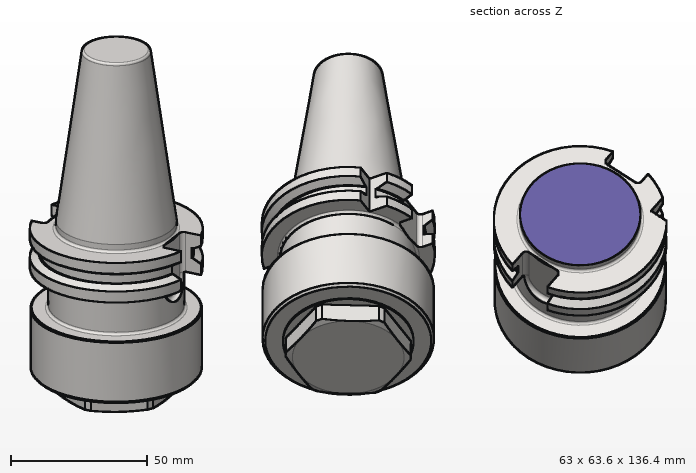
import cadquery as cq
import math


gauge_diameter = 44.45
taper_length = 68.4
taper_top_diameter = 25.3
top_edge_fillet = 1.0

flange_diameter = 63.55
flange_top = -3.2
flange_bottom = -19.1
taper_root_fillet = 1.0
groove_diameter = 56.2
groove_floor_width = 3.8
groove_mouth_width = 7.1
groove_wall_angle = 27
groove_center = -11.1

neck_diameter = 50.0
neck_fillet = 1.0

nut_diameter = 63.0
nut_top = -35.0
nut_bottom = -60.0
nut_top_chamfer = 0.4
nut_bottom_chamfer = 1.0
nut_step_diameter = 48.0
nut_step_height = 0.4

hex_across_flats = 41.0
hex_corner_diameter = 46.0
hex_bottom = -68.0
hex_edge_angle = 15

slot_width = 16.1
slot_corner_radius = 1.6
slot_overrun = 0.2
shallow_slot_floor = 25.0
deep_slot_floor = 22.8
notch_offset = 18.6


def turned_body():
    """Taper, flange, neck and nut as one revolved profile."""
    gauge_radius = gauge_diameter / 2
    top_radius = taper_top_diameter / 2
    taper_angle = math.atan((gauge_radius - top_radius) / taper_length)
    fillet_reach = top_edge_fillet * math.tan((math.pi / 2 - taper_angle) / 2)
    fillet_end_radius = top_radius + fillet_reach * math.sin(taper_angle)
    fillet_end_height = taper_length - fillet_reach * math.cos(taper_angle)
    flange_radius = flange_diameter / 2
    groove_radius = groove_diameter / 2
    neck_radius = neck_diameter / 2
    nut_radius = nut_diameter / 2
    mouth_half = groove_mouth_width / 2
    floor_half = groove_floor_width / 2
    wall_run = (mouth_half - floor_half) / math.tan(math.radians(groove_wall_angle))
    wall_foot_radius = flange_radius - wall_run

    profile = (
        cq.Workplane("XZ")
        .moveTo(0, taper_length)
        .lineTo(top_radius - fillet_reach, taper_length)
        .radiusArc((fillet_end_radius, fillet_end_height), top_edge_fillet)
        .lineTo(gauge_radius, 0)
        .lineTo(gauge_radius, flange_top + taper_root_fillet)
        .radiusArc((gauge_radius + taper_root_fillet, flange_top), -taper_root_fillet)
        .lineTo(flange_radius, flange_top)
        .lineTo(flange_radius, groove_center + mouth_half)
        .lineTo(wall_foot_radius, groove_center + floor_half)
        .lineTo(groove_radius, groove_center + floor_half)
        .lineTo(groove_radius, groove_center - floor_half)
        .lineTo(wall_foot_radius, groove_center - floor_half)
        .lineTo(flange_radius, groove_center - mouth_half)
        .lineTo(flange_radius, flange_bottom)
        .lineTo(neck_radius + neck_fillet, flange_bottom)
        .radiusArc((neck_radius, flange_bottom - neck_fillet), -neck_fillet)
        .lineTo(neck_radius, nut_top + neck_fillet)
        .radiusArc((neck_radius + neck_fillet, nut_top), -neck_fillet)
        .lineTo(nut_radius - nut_top_chamfer, nut_top)
        .lineTo(nut_radius, nut_top - nut_top_chamfer)
        .lineTo(nut_radius, nut_bottom + nut_bottom_chamfer)
        .lineTo(nut_radius - nut_bottom_chamfer, nut_bottom)
        .lineTo(nut_step_diameter / 2, nut_bottom)
        .lineTo(nut_step_diameter / 2, nut_bottom - nut_step_height)
        .lineTo(0, nut_bottom - nut_step_height)
        .close()
    )
    return profile.revolve(360, (0, 0, 0), (0, 1, 0))


def nut_hexagon():
    """Hexagon with two flats facing +X and -X, its corners turned and its end edge chamfered."""
    height = nut_bottom - hex_bottom
    prism = (
        cq.Workplane("XY", origin=(0, 0, hex_bottom))
        .polygon(6, hex_across_flats, circumscribed=True)
        .extrude(height)
    )
    end_radius = hex_across_flats / 2
    corner_radius = hex_corner_diameter / 2
    edge_height = (corner_radius - end_radius) * math.tan(math.radians(hex_edge_angle))
    envelope = (
        cq.Workplane("XZ")
        .moveTo(0, hex_bottom)
        .lineTo(end_radius, hex_bottom)
        .lineTo(corner_radius, hex_bottom + edge_height)
        .lineTo(corner_radius, nut_bottom)
        .lineTo(0, nut_bottom)
        .close()
        .revolve(360, (0, 0, 0), (0, 1, 0))
    )
    return prism.intersect(envelope)


def drive_slot(side, floor_distance):
    """Slot through the flange on one side (+1 or -1 along X), with a round end below the flange."""
    cut_length = flange_diameter / 2
    half_width = slot_width / 2
    end_center = flange_bottom - slot_overrun
    slot = (
        cq.Workplane("YZ", origin=(floor_distance, 0, 0))
        .moveTo(-half_width, flange_top)
        .lineTo(-half_width, end_center)
        .threePointArc((0, end_center - half_width), (half_width, end_center))
        .lineTo(half_width, flange_top)
        .close()
        .extrude(cut_length)
        .faces("<X")
        .edges("not >Z")
        .fillet(slot_corner_radius)
    )
    turn = 0 if side > 0 else 180
    return slot.rotate((0, 0, 0), (0, 0, 1), turn)


def orientation_notch():
    """Square notch through the flange in the -X, +Y quadrant."""
    size = flange_diameter / 2
    height = flange_top - flange_bottom
    return (
        cq.Workplane("XY")
        .box(size, size, height, centered=False)
        .translate((-notch_offset - size, notch_offset, flange_bottom))
    )


result = (
    turned_body()
    .union(nut_hexagon())
    .cut(drive_slot(-1, shallow_slot_floor))
    .cut(drive_slot(1, deep_slot_floor))
    .cut(orientation_notch())
)